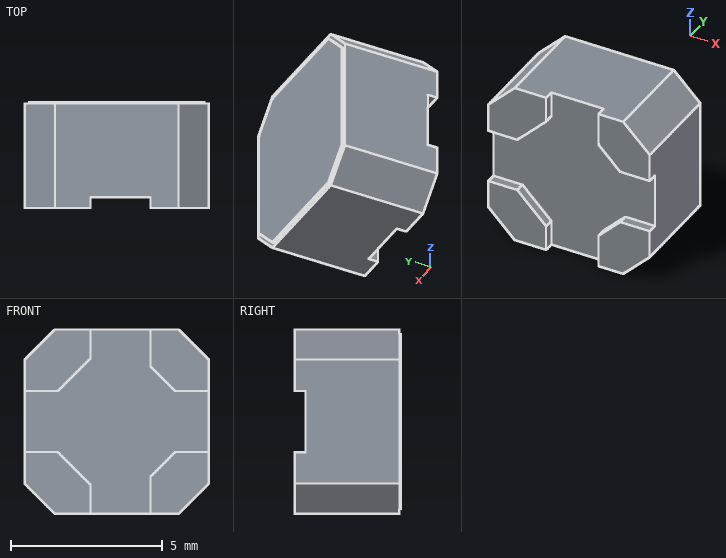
import cadquery as cq

side = 6.08
total_depth = 3.5
corner_chamfer = 1.0

panel_thickness = 0.05
panel_inset = 0.15
panel_side = side - 2 * panel_inset
panel_chamfer = 0.925

foot_height = 0.35
foot_length_z = 2.035
left_foot_length_x = 2.18
left_foot_chamfer = 1.09
right_foot_length_x = 1.935
right_foot_chamfer = 0.82

half = side / 2
front_y = -total_depth / 2
body_back_y = total_depth / 2 - panel_thickness


def chamfered_square(width, chamfer, start_y, depth):
    """Square prism along +Y with its four long edges chamfered."""
    return (
        cq.Workplane("XZ", origin=(0, start_y, 0))
        .rect(width, width)
        .extrude(-depth)
        .edges("|Y")
        .chamfer(chamfer)
    )


def foot_blank(x_sign, z_sign, length_x, chamfer):
    """Corner block with its inward corner cut; the body outline trims its outer corner."""
    inner_x = half - length_x
    inner_z = half - foot_length_z
    outline = [
        (half, half),
        (inner_x, half),
        (inner_x, inner_z + chamfer),
        (inner_x + chamfer, inner_z),
        (half, inner_z),
    ]
    return (
        cq.Workplane("XZ", origin=(0, front_y, 0))
        .polyline([(x_sign * x, z_sign * z) for x, z in outline])
        .close()
        .extrude(-foot_height)
    )


body = chamfered_square(side, corner_chamfer, front_y, body_back_y - front_y)
panel = chamfered_square(panel_side, panel_chamfer, body_back_y, panel_thickness)

recess = cq.Workplane("XZ", origin=(0, front_y, 0)).rect(side, side).extrude(-foot_height)
for z_sign in (-1, 1):
    recess = recess.cut(foot_blank(-1, z_sign, left_foot_length_x, left_foot_chamfer))
    recess = recess.cut(foot_blank(1, z_sign, right_foot_length_x, right_foot_chamfer))

result = body.cut(recess).union(panel)